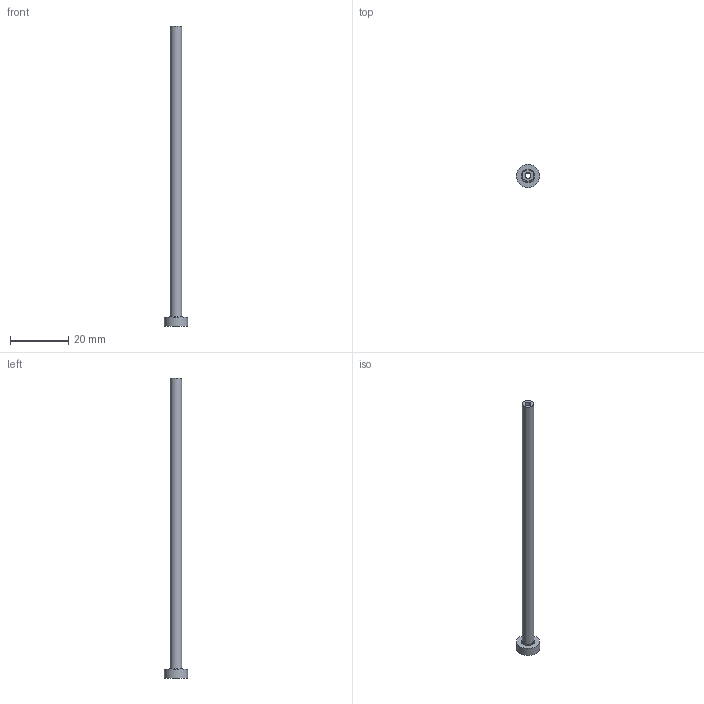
import cadquery as cq

total_length = 103.0
head_diameter = 8.0
head_height = 3.0
shaft_diameter = 4.0
bore_diameter = 2.0
neck_fillet_radius = 0.3


def make_head():
    """Disc at the foot of the sleeve."""
    return cq.Workplane("XY").circle(head_diameter / 2).extrude(head_height)


def add_shaft(body):
    """Long round shaft rising from the head, blended into it by a fillet."""
    shaft_length = total_length - head_height
    body = body.faces(">Z").workplane().circle(shaft_diameter / 2).extrude(shaft_length)
    neck_edge = cq.selectors.RadiusNthSelector(0)
    return body.faces("<Z[1]").edges(neck_edge).fillet(neck_fillet_radius)


def cut_bore(body):
    """Straight bore through the full length."""
    bore = cq.Workplane("XY").circle(bore_diameter / 2).extrude(total_length)
    return body.cut(bore)


result = cut_bore(add_shaft(make_head()))